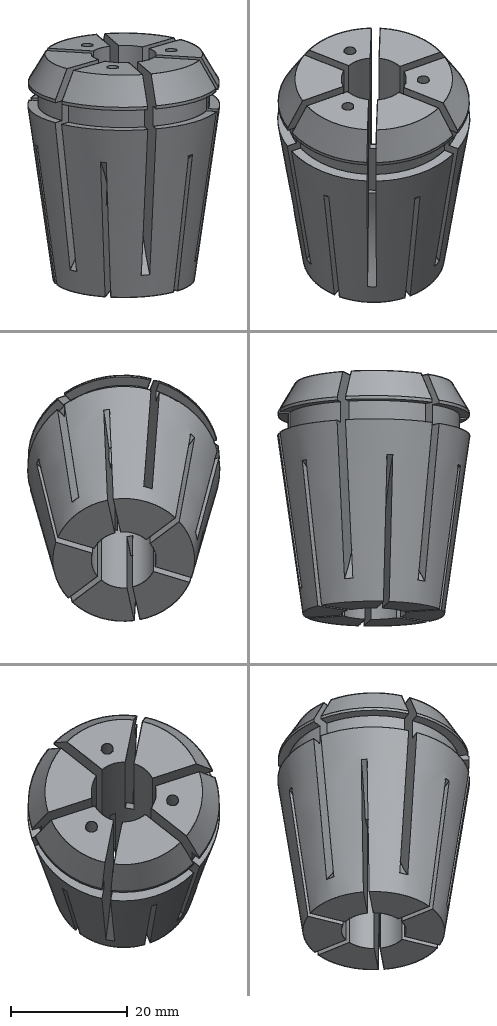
import cadquery as cq
import math

HEIGHT = 40.0
MAX_DIAMETER = 33.0
MAX_RADIUS = MAX_DIAMETER / 2
BASE_RADIUS = 12.15
TAPER_TOP = 31.0
NECK_RADIUS = 14.7
HEAD_BOTTOM = 34.5
RIM_RADIUS = 16.4
RIM_HEIGHT = 0.55
TOP_RADIUS = 13.5
BORE_RADIUS = 5.55

SLOT_COUNT = 6
SAW_RADIUS = 25.0
LEDGE_TILT = 11.0
SLOT_REACH = MAX_RADIUS + 4.0

TOP_SLOT_WIDTH = 1.5
TOP_SLOT_OUTER_Z = 4.0
TOP_SLOT_INNER_Z = 19.85
TOP_SLOT_INNER_RADIUS = 6.5

BOTTOM_SLOT_WIDTH = 1.0
BOTTOM_SLOT_OUTER_Z = 24.95
BOTTOM_SLOT_INNER_Z = 16.95
BOTTOM_SLOT_INNER_RADIUS = 9.0

HOLE_COUNT = 3
HOLE_FIRST_ANGLE = 90.0
HOLE_DIAMETER = 2.0
HOLE_CIRCLE_RADIUS = 8.5
HOLE_TILT = 4.0
HOLE_DEPTH = 24.0
HOLE_OVERSHOOT = 2.0


def taper_radius(z):
    """Outer radius of the tapered body at height z."""
    return BASE_RADIUS + (MAX_RADIUS - BASE_RADIUS) * z / TAPER_TOP


def arc_middle(start, end, radius):
    """Middle of the arc from start to end that bulges to the left of that direction."""
    dx = end[0] - start[0]
    dz = end[1] - start[1]
    chord = math.hypot(dx, dz)
    bulge = radius - math.sqrt(radius**2 - (chord / 2) ** 2)
    return (
        (start[0] + end[0]) / 2 - bulge * dz / chord,
        (start[1] + end[1]) / 2 + bulge * dx / chord,
    )


def make_body():
    """Turned body: taper, neck groove, conical head and through bore."""
    profile = [
        (BORE_RADIUS, 0),
        (BASE_RADIUS, 0),
        (MAX_RADIUS, TAPER_TOP),
        (NECK_RADIUS, TAPER_TOP),
        (NECK_RADIUS, HEAD_BOTTOM),
        (RIM_RADIUS, HEAD_BOTTOM),
        (RIM_RADIUS, HEAD_BOTTOM + RIM_HEIGHT),
        (TOP_RADIUS, HEIGHT),
        (BORE_RADIUS, HEIGHT),
    ]
    return cq.Workplane("XZ").polyline(profile).close().revolve(360, (0, 0), (0, 1))


def make_slot(inner, outer, middle, open_z, width):
    """Cutter along +X, from its curved end to the open face of the body at open_z."""
    ledge_sign = math.copysign(1, outer[1] - inner[1])
    ledge_shift = ledge_sign * inner[0] * math.tan(math.radians(LEDGE_TILT))
    return (
        cq.Workplane("XZ")
        .moveTo(0, inner[1] + ledge_shift)
        .lineTo(*inner)
        .threePointArc(middle, outer)
        .lineTo(SLOT_REACH, outer[1])
        .lineTo(SLOT_REACH, open_z)
        .lineTo(0, open_z)
        .close()
        .extrude(width / 2, both=True)
    )


def make_top_slot():
    inner = (TOP_SLOT_INNER_RADIUS, TOP_SLOT_INNER_Z)
    outer = (taper_radius(TOP_SLOT_OUTER_Z), TOP_SLOT_OUTER_Z)
    middle = arc_middle(outer, inner, SAW_RADIUS)
    return make_slot(inner, outer, middle, HEIGHT, TOP_SLOT_WIDTH)


def make_bottom_slot():
    inner = (BOTTOM_SLOT_INNER_RADIUS, BOTTOM_SLOT_INNER_Z)
    outer = (taper_radius(BOTTOM_SLOT_OUTER_Z), BOTTOM_SLOT_OUTER_Z)
    middle = arc_middle(inner, outer, SAW_RADIUS)
    return make_slot(inner, outer, middle, 0, BOTTOM_SLOT_WIDTH)


def make_hole():
    """Leaning hole cutter along +X that starts a little above the top face."""
    lean = math.radians(HOLE_TILT)
    start_radius = HOLE_CIRCLE_RADIUS - HOLE_OVERSHOOT * math.tan(lean)
    return cq.Workplane(
        cq.Solid.makeCylinder(
            HOLE_DIAMETER / 2,
            HOLE_DEPTH + HOLE_OVERSHOOT,
            cq.Vector(start_radius, 0, HEIGHT + HOLE_OVERSHOOT),
            cq.Vector(math.sin(lean), 0, -math.cos(lean)),
        )
    )


def cut_around(body, cutter, count, first_angle):
    """Cut evenly spaced copies of the cutter around the Z axis."""
    for index in range(count):
        angle = first_angle + index * 360.0 / count
        body = body.cut(cutter.rotate((0, 0, 0), (0, 0, 1), angle))
    return body


half_pitch = 180.0 / SLOT_COUNT

result = make_body()
result = cut_around(result, make_top_slot(), SLOT_COUNT, 0)
result = cut_around(result, make_bottom_slot(), SLOT_COUNT, half_pitch)
result = cut_around(result, make_hole(), HOLE_COUNT, HOLE_FIRST_ANGLE)